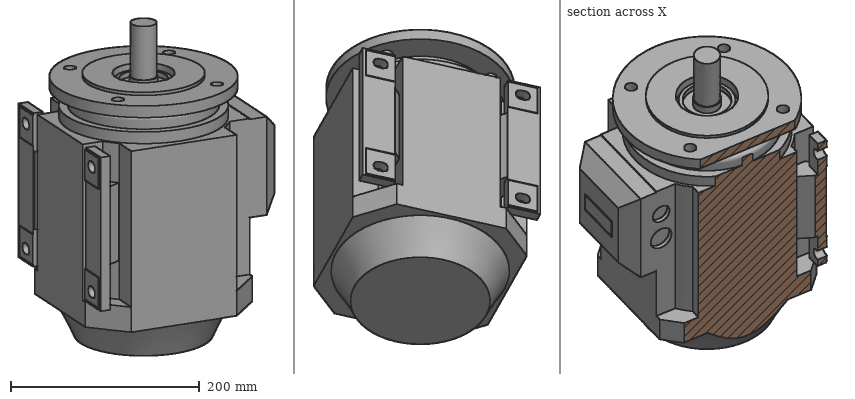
import cadquery as cq
import math


SHAFT_RADIUS = 14
SHAFT_LENGTH = 60
COLLAR_RADIUS = 15

FLANGE_RADIUS = 100
FLANGE_THICKNESS = 13
SPIGOT_RADIUS = 65
SPIGOT_HEIGHT = 3.5
FLANGE_HOLE_RADIUS = 6.5
FLANGE_HOLE_CIRCLE_RADIUS = 82.5
FLANGE_HOLE_COUNT = 4
FLANGE_HOLE_START_ANGLE = 45

RECESS_RADIUS = 33
RECESS_FLOOR_Z = -8.5
SEAL_OUTER_RADIUS = 30
SEAL_INNER_RADIUS = 26
SEAL_TOP_Z = -2.5

NECK_RADIUS = 54
NECK_FILLET = 5
SHIELD_RADIUS = 80.5
SHIELD_FILLET = 5
SHIELD_TOP_Z = -FLANGE_THICKNESS - NECK_FILLET
RIM_RADIUS = 90
RIM_TOP_Z = -32.5

HOUSING_TOP_Z = -45.5
SKIRT_TOP_Z = -220
HOUSING_BOTTOM_Z = -248
CORE_RADIUS = 93
HALF_WIDTH = 98
HALF_DEPTH = 98.5
SIDE_SLAB_HALF_DEPTH = 62
FRONT_SLAB_HALF_WIDTH = 55
SKIRT_CHAMFER = HALF_DEPTH - SIDE_SLAB_HALF_DEPTH

COWL_BOTTOM_Z = -288.5
COWL_TOP_RADIUS = 94.5
COWL_MID_RADIUS = 83.4
COWL_BOTTOM_RADIUS = 74

AXIS_HEIGHT = 100
PAD_THICKNESS = 1
FOOT_BOTTOM_Y = -AXIS_HEIGHT + PAD_THICKNESS
FOOT_TOP_Y = -88
FOOT_INNER_X = 63.5
FOOT_OUTER_X = 100
FOOT_TOP_Z = -46.5
FOOT_BOTTOM_Z = -218.5
PAD_WIDTH = 33
PAD_LENGTH = 34.5
PAD_END_MARGIN = 2
FOOT_HOLE_X = 80
FOOT_HOLE_Z = (-63, -203)
FOOT_SLOT_LENGTH = 16
FOOT_SLOT_WIDTH = 12

WEB_TOP_Z = -89.5
WEB_BOTTOM_Z = -176.5
WEB_OUTER_TOP = (68.7, -SIDE_SLAB_HALF_DEPTH)
WEB_OUTER_BOTTOM = (81.7, FOOT_TOP_Y)
WEB_INNER_BOTTOM = (FOOT_INNER_X, -97.5)
WEB_INNER_TOP = (FRONT_SLAB_HALF_WIDTH, FOOT_TOP_Y)

BOX_SIDE = 110
BOX_TOP_Z = -46.5
BOX_SHOULDER_Y = 118.5
BOX_COVER_Y = 136
COVER_SLOPE_RUN = 17
BADGE_WIDTH = 53
BADGE_LENGTH = 21
BADGE_THICKNESS = 1
CABLE_PORT_Y = 92.5
CABLE_PORT_DEPTH = 5
CABLE_PORTS = ((-79.5, 10.5), (-113.5, 13))


def block(x_range, y_range, z_range):
    """Axis-aligned box given by its extents."""
    return (
        cq.Workplane("XY")
        .box(
            x_range[1] - x_range[0],
            y_range[1] - y_range[0],
            z_range[1] - z_range[0],
            centered=False,
        )
        .translate((x_range[0], y_range[0], z_range[0]))
    )


def cylinder(radius, z_bottom, z_top):
    """Cylinder on the motor axis."""
    return cq.Workplane("XY").workplane(offset=z_bottom).circle(radius).extrude(z_top - z_bottom)


def make_housing():
    skirt = (
        cq.Workplane("XY")
        .workplane(offset=HOUSING_BOTTOM_Z)
        .rect(2 * HALF_WIDTH, 2 * HALF_DEPTH)
        .extrude(SKIRT_TOP_Z - HOUSING_BOTTOM_Z)
        .edges("|Z")
        .chamfer(SKIRT_CHAMFER)
    )
    upper_range = (SKIRT_TOP_Z, HOUSING_TOP_Z)
    core = cylinder(CORE_RADIUS, *upper_range)
    side_slab = block(
        (-HALF_WIDTH, HALF_WIDTH),
        (-SIDE_SLAB_HALF_DEPTH, SIDE_SLAB_HALF_DEPTH),
        upper_range,
    )
    front_slab = block(
        (-FRONT_SLAB_HALF_WIDTH, FRONT_SLAB_HALF_WIDTH),
        (-HALF_DEPTH, HALF_DEPTH),
        upper_range,
    )
    return skirt.union(core).union(side_slab).union(front_slab)


def make_cowl():
    mid_z = (HOUSING_BOTTOM_Z + COWL_BOTTOM_Z) / 2
    return (
        cq.Workplane("XZ")
        .moveTo(0, HOUSING_BOTTOM_Z)
        .lineTo(COWL_TOP_RADIUS, HOUSING_BOTTOM_Z)
        .threePointArc((COWL_MID_RADIUS, mid_z), (COWL_BOTTOM_RADIUS, COWL_BOTTOM_Z))
        .lineTo(0, COWL_BOTTOM_Z)
        .close()
        .revolve(360, (0, 0, 0), (0, 1, 0))
    )


def make_shield_and_flange():
    """Revolved drive-end shield, neck, flange and spigot."""
    arc_drop = 1 - math.sqrt(0.5)
    neck_foot_radius = NECK_RADIUS + NECK_FILLET
    neck_arc_mid = (
        NECK_RADIUS + NECK_FILLET * arc_drop,
        SHIELD_TOP_Z + NECK_FILLET * arc_drop,
    )
    shield_arc_mid = (
        SHIELD_RADIUS - SHIELD_FILLET * arc_drop,
        SHIELD_TOP_Z - SHIELD_FILLET * arc_drop,
    )
    return (
        cq.Workplane("XZ")
        .moveTo(0, HOUSING_TOP_Z)
        .lineTo(RIM_RADIUS, HOUSING_TOP_Z)
        .lineTo(RIM_RADIUS, RIM_TOP_Z)
        .lineTo(SHIELD_RADIUS, RIM_TOP_Z)
        .lineTo(SHIELD_RADIUS, SHIELD_TOP_Z - SHIELD_FILLET)
        .threePointArc(shield_arc_mid, (SHIELD_RADIUS - SHIELD_FILLET, SHIELD_TOP_Z))
        .lineTo(neck_foot_radius, SHIELD_TOP_Z)
        .threePointArc(neck_arc_mid, (NECK_RADIUS, -FLANGE_THICKNESS))
        .lineTo(FLANGE_RADIUS, -FLANGE_THICKNESS)
        .lineTo(FLANGE_RADIUS, 0)
        .lineTo(SPIGOT_RADIUS, 0)
        .lineTo(SPIGOT_RADIUS, SPIGOT_HEIGHT)
        .lineTo(0, SPIGOT_HEIGHT)
        .close()
        .revolve(360, (0, 0, 0), (0, 1, 0))
    )


def make_flange_holes():
    return (
        cq.Workplane("XY")
        .workplane(offset=-FLANGE_THICKNESS)
        .polarArray(FLANGE_HOLE_CIRCLE_RADIUS, FLANGE_HOLE_START_ANGLE, 360, FLANGE_HOLE_COUNT)
        .circle(FLANGE_HOLE_RADIUS)
        .extrude(FLANGE_THICKNESS)
    )


def make_shaft_recess():
    """Recess around the shaft with a raised seal ring left standing on its floor."""
    seal = cylinder(SEAL_OUTER_RADIUS, RECESS_FLOOR_Z, SEAL_TOP_Z).cut(
        cylinder(SEAL_INNER_RADIUS, RECESS_FLOOR_Z, SEAL_TOP_Z)
    )
    return cylinder(RECESS_RADIUS, RECESS_FLOOR_Z, SPIGOT_HEIGHT).cut(seal)


def make_shaft():
    collar = cylinder(COLLAR_RADIUS, RECESS_FLOOR_Z, 0)
    return collar.union(cylinder(SHAFT_RADIUS, RECESS_FLOOR_Z, SHAFT_LENGTH))


def make_foot():
    """Foot on the +X side: bar, two raised pads, slotted holes and web."""
    foot = block(
        (FOOT_INNER_X, FOOT_OUTER_X),
        (FOOT_BOTTOM_Y, FOOT_TOP_Y),
        (FOOT_BOTTOM_Z, FOOT_TOP_Z),
    )
    upper_pad_top = FOOT_TOP_Z - PAD_END_MARGIN
    lower_pad_bottom = FOOT_BOTTOM_Z + PAD_END_MARGIN
    pad_ranges = (
        (upper_pad_top - PAD_LENGTH, upper_pad_top),
        (lower_pad_bottom, lower_pad_bottom + PAD_LENGTH),
    )
    for pad_range in pad_ranges:
        pad = block(
            (FOOT_INNER_X, FOOT_INNER_X + PAD_WIDTH),
            (-AXIS_HEIGHT, FOOT_BOTTOM_Y),
            pad_range,
        )
        foot = foot.union(pad)

    slots = (
        cq.Workplane("XZ", origin=(0, FOOT_TOP_Y, 0))
        .pushPoints([(FOOT_HOLE_X, z) for z in FOOT_HOLE_Z])
        .slot2D(FOOT_SLOT_LENGTH, FOOT_SLOT_WIDTH)
        .extrude(AXIS_HEIGHT + FOOT_TOP_Y)
    )
    web = (
        cq.Workplane("XY")
        .workplane(offset=WEB_BOTTOM_Z)
        .moveTo(FRONT_SLAB_HALF_WIDTH, WEB_OUTER_TOP[1])
        .lineTo(*WEB_OUTER_TOP)
        .lineTo(*WEB_OUTER_BOTTOM)
        .lineTo(FOOT_INNER_X, FOOT_TOP_Y)
        .lineTo(*WEB_INNER_BOTTOM)
        .lineTo(*WEB_INNER_TOP)
        .close()
        .extrude(WEB_TOP_Z - WEB_BOTTOM_Z)
    )
    return foot.cut(slots).union(web)


def make_terminal_box():
    half_side = BOX_SIDE / 2
    center_z = BOX_TOP_Z - half_side
    base = block(
        (-half_side, half_side),
        (0, BOX_SHOULDER_Y),
        (BOX_TOP_Z - BOX_SIDE, BOX_TOP_Z),
    )
    slope_height = BOX_COVER_Y - BOX_SHOULDER_Y
    cover_side = BOX_SIDE - 2 * COVER_SLOPE_RUN
    cover = (
        cq.Workplane("XZ", origin=(0, BOX_SHOULDER_Y, center_z))
        .rect(BOX_SIDE, BOX_SIDE)
        .workplane(offset=-slope_height)
        .rect(cover_side, cover_side)
        .loft(ruled=True)
    )
    badge = block(
        (-BADGE_WIDTH / 2, BADGE_WIDTH / 2),
        (BOX_COVER_Y, BOX_COVER_Y + BADGE_THICKNESS),
        (center_z - BADGE_LENGTH / 2, center_z + BADGE_LENGTH / 2),
    )
    return base.union(cover).union(badge)


def make_cable_ports():
    """Blind cable entries in the -X wall of the terminal box."""
    ports = cq.Workplane("YZ", origin=(-BOX_SIDE / 2, 0, 0))
    for port_z, port_radius in CABLE_PORTS:
        ports = ports.moveTo(CABLE_PORT_Y, port_z).circle(port_radius)
    return ports.extrude(CABLE_PORT_DEPTH)


foot = make_foot()

result = (
    make_housing()
    .union(make_cowl())
    .union(make_shield_and_flange())
    .union(make_terminal_box())
    .union(foot)
    .union(foot.mirror("YZ"))
    .cut(make_flange_holes())
    .cut(make_cable_ports())
    .cut(make_shaft_recess())
    .union(make_shaft())
)